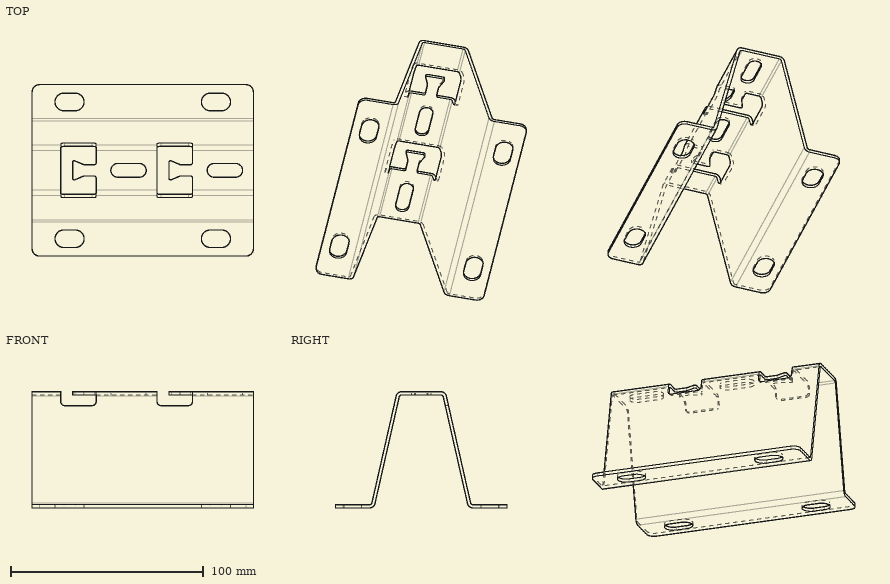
import cadquery as cq
import math

length = 115.0
overall_width = 89.12
height = 60.41
thickness = 1.75
inner_bend_radius = 1.2
outer_bend_radius = inner_bend_radius + thickness
wall_tilt = math.radians(12.8)
top_flat_width = 20.4
flange_corner_radius = 4.0

opening_count = 2
pitch = 50.0
opening_start = 15.0
opening_length = 18.25
opening_depth = 7.2
opening_corner_radius = 2.0
tongue_corner_radius = 0.9
tongue_length = 12.2
tongue_neck_width = 6.0
tongue_head_width = 11.0
tongue_flare_length = 5.8
top_slot_start = 41.0
top_slot_length = 18.25
top_slot_width = 7.0

flange_slot_length = 15.0
flange_slot_width = 9.0
flange_slot_spacing_x = 76.0
flange_slot_spacing_y = 71.0

left_end = -length / 2
half_width = overall_width / 2
selection_margin = 0.1


def bend_arc(centre, radius, start_angle, end_angle):
    """Start, middle and end point of a bend arc in the YZ plane."""
    angles = (start_angle, (start_angle + end_angle) / 2, end_angle)
    return [(centre[0] + radius * math.cos(a), centre[1] + radius * math.sin(a)) for a in angles]


def folded_sheet():
    """Hat-shaped sheet: the +Y half is extruded along X, then mirrored."""
    top_centre = (top_flat_width / 2, height - outer_bend_radius)
    radius_sum = outer_bend_radius + inner_bend_radius
    drop = top_centre[1] - outer_bend_radius
    spread = (radius_sum + drop * math.sin(wall_tilt)) / math.cos(wall_tilt)
    foot_centre = (top_centre[0] + spread, outer_bend_radius)

    to_top = math.pi / 2
    to_wall_from_top = wall_tilt
    to_wall_from_foot = math.pi + wall_tilt
    to_flange = 3 * math.pi / 2

    upper_top_bend = bend_arc(top_centre, outer_bend_radius, to_top, to_wall_from_top)
    upper_foot_bend = bend_arc(foot_centre, inner_bend_radius, to_wall_from_foot, to_flange)
    lower_foot_bend = bend_arc(foot_centre, outer_bend_radius, to_flange, to_wall_from_foot)
    lower_top_bend = bend_arc(top_centre, inner_bend_radius, to_wall_from_top, to_top)

    half = (
        cq.Workplane("YZ", origin=(left_end, 0, 0))
        .moveTo(0, height)
        .lineTo(*upper_top_bend[0])
        .threePointArc(*upper_top_bend[1:])
        .lineTo(*upper_foot_bend[0])
        .threePointArc(*upper_foot_bend[1:])
        .lineTo(half_width, thickness)
        .lineTo(half_width, 0)
        .lineTo(*lower_foot_bend[0])
        .threePointArc(*lower_foot_bend[1:])
        .lineTo(*lower_top_bend[0])
        .threePointArc(*lower_top_bend[1:])
        .lineTo(0, height - thickness)
        .close()
        .extrude(length)
        .edges("|Z and >Y")
        .fillet(flange_corner_radius)
    )
    return half.union(half.mirror("XZ"))


def flange_slots():
    """Cutters for the four mounting slots in the flanges."""
    return (
        cq.Workplane("XY")
        .rect(flange_slot_spacing_x, flange_slot_spacing_y, forConstruction=True)
        .vertices()
        .slot2D(flange_slot_length, flange_slot_width)
        .extrude(thickness)
    )


def tongue(root_x):
    """Block in the outline of a tongue that points to -X from root_x."""
    tip_x = root_x - tongue_length
    flare_end_x = tip_x + tongue_flare_length
    half_neck = tongue_neck_width / 2
    half_head = tongue_head_width / 2
    past_root_x = root_x + thickness
    return (
        cq.Workplane("XY", origin=(0, 0, height - thickness))
        .moveTo(past_root_x, half_neck)
        .lineTo(flare_end_x, half_neck)
        .lineTo(tip_x, half_head)
        .lineTo(tip_x, -half_head)
        .lineTo(flare_end_x, -half_neck)
        .lineTo(past_root_x, -half_neck)
        .close()
        .extrude(thickness)
        .edges("|Z and (not >X)")
        .fillet(tongue_corner_radius)
    )


def top_opening(start_x):
    """Cutter across the top and both upper walls, less the tongue."""
    cutter = (
        cq.Workplane("XY", origin=(start_x, 0, height - opening_depth))
        .box(opening_length, overall_width, opening_depth, centered=(False, True, False))
        .edges("|Y and <Z")
        .fillet(opening_corner_radius)
    )
    root_x = start_x + opening_length
    cutter = cutter.cut(tongue(root_x))
    root_edges = cq.selectors.BoxSelector(
        (root_x - selection_margin, -tongue_neck_width, height - opening_depth),
        (root_x + selection_margin, tongue_neck_width, height + selection_margin),
    )
    return cutter.edges("|Z").edges(root_edges).fillet(tongue_corner_radius)


def top_slot(start_x):
    """Cutter for a slot through the top, beginning at start_x."""
    return (
        cq.Workplane("XY", origin=(start_x + top_slot_length / 2, 0, height - thickness))
        .slot2D(top_slot_length, top_slot_width)
        .extrude(thickness)
    )


result = folded_sheet().cut(flange_slots())
for index in range(opening_count):
    section_x = left_end + index * pitch
    result = result.cut(top_opening(section_x + opening_start))
    result = result.cut(top_slot(section_x + top_slot_start))